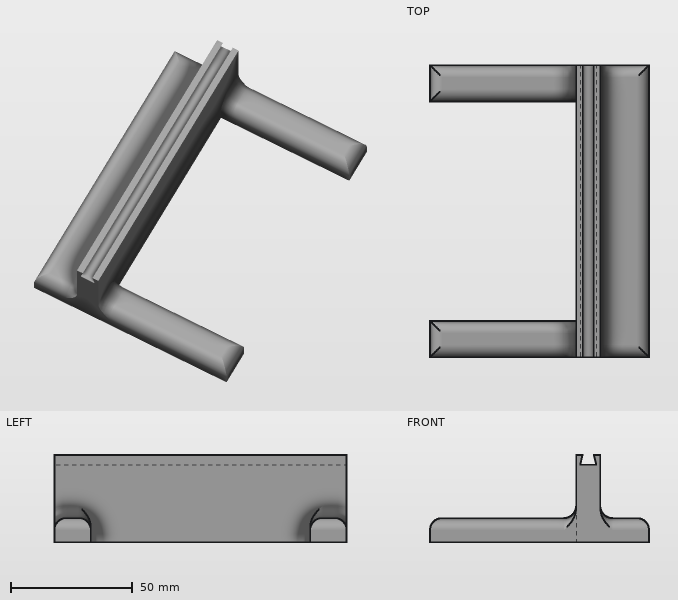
import cadquery as cq
import math

length_x = 90.0
width_y = 120.0
height_z = 35.9

leg_width = 15.0
radius = leg_width / 3
base_height = 2 * radius
wall_thickness = 2 * radius
wall_front = 60.0
wall_back = wall_front + wall_thickness
wall_middle = wall_front + wall_thickness / 2

groove_mouth = 4.5
groove_floor = 6.5
groove_depth = 4.0

diagonal = radius * math.sqrt(0.5)
cove_top = base_height + radius


def block(x_start, x_end, y_start, y_end, z_end):
    size = (x_end - x_start, y_end - y_start, z_end)
    return cq.Workplane("XY").box(*size, centered=False).translate((x_start, y_start, 0))


def make_leg():
    """Leg along the Y = 0 end, rounded on its three free top edges."""
    leg = block(0, wall_middle, 0, leg_width, base_height)
    return leg.faces(">Z").edges("|X or <X").fillet(radius)


def make_foot():
    foot = block(wall_middle, length_x, 0, width_y, base_height)
    return foot.faces(">Z").edges("|X or >X").fillet(radius)


def make_wall():
    wall = block(wall_front, wall_back, 0, width_y, height_z)
    groove_bottom = height_z - groove_depth
    groove = (
        cq.Workplane("XZ")
        .moveTo(wall_middle - groove_mouth / 2, height_z)
        .lineTo(wall_middle + groove_mouth / 2, height_z)
        .lineTo(wall_middle + groove_floor / 2, groove_bottom)
        .lineTo(wall_middle - groove_floor / 2, groove_bottom)
        .close()
        .extrude(-width_y)
    )
    return wall.cut(groove)


def cove_section(wall_x, outward, bottom):
    """Concave quarter-round between the wall face and the base top."""
    outer_x = wall_x + outward * radius
    return (
        cq.Workplane("XZ")
        .moveTo(wall_x, bottom)
        .lineTo(outer_x, bottom)
        .lineTo(outer_x, base_height)
        .threePointArc(
            (outer_x - outward * diagonal, cove_top - diagonal),
            (wall_x, cove_top),
        )
        .close()
    )


def straight_cove(wall_x, outward, y_start, y_end):
    cove = cove_section(wall_x, outward, 0).extrude(y_start - y_end)
    return cove.translate((0, y_start, 0))


def end_cove(wall_x, outward):
    """Cove swept around the rounded base edge, trimmed flush with the Y = 0 end."""
    cove = cove_section(wall_x, outward, radius).revolve(360, (0, radius, 0), (1, radius, 0))
    cove = cove.translate((0, radius, 0))
    low_x = min(wall_x, wall_x + outward * radius)
    return cove.intersect(block(low_x, low_x + radius, 0, radius, cove_top))


def inner_cove():
    """Cove on the inner half of a leg, with its concave edge rounded over."""
    inner_start = leg_width - radius
    cove = straight_cove(wall_front, -1, inner_start, leg_width)
    axis_x = wall_front - radius
    rounding = (
        cq.Workplane("XY")
        .moveTo(axis_x, inner_start)
        .lineTo(axis_x + radius, inner_start)
        .threePointArc(
            (axis_x + 2 * radius - diagonal, inner_start + diagonal),
            (axis_x + 2 * radius, leg_width),
        )
        .lineTo(axis_x, leg_width)
        .close()
        .revolve(360, (axis_x, 0, 0), (axis_x, 1, 0))
        .translate((0, 0, cove_top))
    )
    return cove.cut(rounding)


end_features = [
    make_leg(),
    straight_cove(wall_front, -1, radius, leg_width - radius),
    end_cove(wall_front, -1),
    end_cove(wall_back, 1),
    inner_cove(),
]

result = make_wall().union(make_foot())
result = result.union(straight_cove(wall_back, 1, radius, width_y - radius))
for feature in end_features:
    mirrored = feature.mirror("XZ", (0, width_y / 2, 0))
    result = result.union(feature).union(mirrored)
result = result.clean()